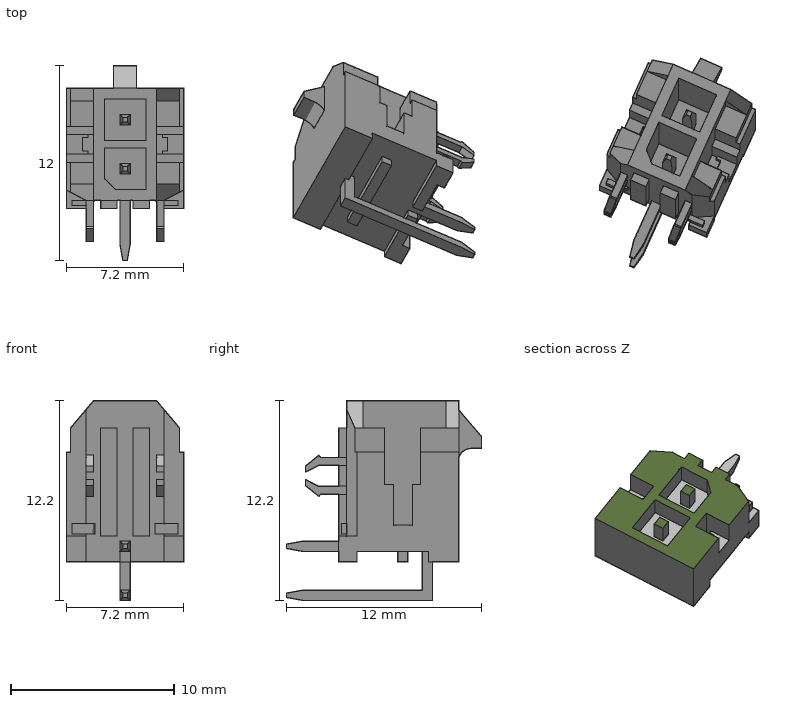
import cadquery as cq
import math


WIDTH = 7.2
DEPTH = 6.87
HEIGHT = 9.88
UPPER_WIDTH = 6.68
TOP_WIDTH = 3.86
FRONT_WIDTH = 4.78
CORNER_CHAMFER_DEPTH = 0.64
LEDGE_Z = 6.72
SHOULDER_Z = 8.21

UNDERSIDE_Z = 0.64
REAR_FOOT_Y = 5.01
FRONT_FOOT_HEIGHT = 1.58
FRONT_PROJECTION = 0.5
BAR_Y = 3.11
BAR_DEPTH = 0.64

SHELF_Y_MIN = 1.0
SHELF_Y_MAX = 6.09
WIDE_SLOT_Y_MIN = 2.31
WIDE_SLOT_Y_MAX = 4.51
WIDE_SLOT_Z = 4.74
NARROW_SLOT_Y_MIN = 2.85
NARROW_SLOT_Y_MAX = 4.02
NARROW_SLOT_Z = 2.26
FLOOR_HOLE_DEPTH = 0.5
FLOOR_HOLE_STEP_X = 2.28
FLOOR_HOLE_OUTER_X = 2.6
FLOOR_HOLE_STEM_Y_MIN = 3.03
FLOOR_HOLE_STEM_Y_MAX = 3.84

RIB_WIDTH = 1.02
RIB_PITCH = 1.98

CIRCUITS = 2
PITCH = 3.0
PIN_SIZE = 0.64
PIN_TIP_SIZE = 0.28
PIN_TIP_LENGTH = 1.0
PIN_FRONT_Y = -3.69
PIN_TOP_Z = 7.0
FRONT_PIN_Y = 1.94
UPPER_TAIL_Z = UNDERSIDE_Z + PIN_SIZE / 2
CAVITY_SIZE = 2.54
CAVITY_FLOOR_Z = 2.5
CAVITY_KEY = 0.68

LATCH_WIDTH = 1.42
LATCH_END_Y = 8.26
LATCH_TOP_Z = 9.31
LATCH_NOSE_TOP_Z = 7.68
LATCH_CATCH_Z = 6.95
LATCH_ARC_Y = 7.65
LATCH_ROOT_RADIUS = 0.84

PRONG_INNER_X = TOP_WIDTH / 2
PRONG_OUTER_X = FRONT_WIDTH / 2
PRONG_THICKNESS = 0.5
PRONG_CENTER_Z = 5.275
PRONG_INNER_OFFSET = 0.635
BARB_START_Y = -1.6
BARB_Y = -1.71
BARB_HEIGHT = 0.13
PRONG_END_Y = -2.53
PRONG_END_INNER_OFFSET = 0.22
PRONG_END_THICKNESS = 0.38

TAB_THICKNESS = 0.32
TAB_OUTER_X = 3.24
TAB_BEND_X = 2.48
TAB_BEND_RADIUS = 0.8
TAB_Z = 1.71
TAB_HEIGHT = 0.64

EMBED = 0.3
SIDES = (-1, 1)
PRONG_DIRECTIONS = (-1, 1)


def box(x_min, x_max, y_min, y_max, z_min, z_max):
    """Axis-aligned block between the given limits."""
    size = (x_max - x_min, y_max - y_min, z_max - z_min)
    return cq.Workplane("XY").box(*size, centered=False).translate((x_min, y_min, z_min))


def side_box(side, x_inner, x_outer, y_min, y_max, z_min, z_max):
    """Block between two distances from the mirror plane, on the chosen side."""
    x_min, x_max = sorted((side * x_inner, side * x_outer))
    return box(x_min, x_max, y_min, y_max, z_min, z_max)


def housing_block():
    """Stepped block with sloping shoulders, chamfered front corners and a raised underside."""
    half_outline = [
        (WIDTH / 2, 0),
        (WIDTH / 2, LEDGE_Z),
        (UPPER_WIDTH / 2, LEDGE_Z),
        (UPPER_WIDTH / 2, SHOULDER_Z),
        (TOP_WIDTH / 2, HEIGHT),
    ]
    outline = half_outline + [(-x, z) for x, z in reversed(half_outline)]
    body = cq.Workplane("XZ").polyline(outline).close().extrude(-DEPTH)
    for side in SIDES:
        corner = [
            (side * FRONT_WIDTH / 2, 0),
            (side * WIDTH / 2, 0),
            (side * WIDTH / 2, CORNER_CHAMFER_DEPTH),
        ]
        profile = cq.Workplane("XY").workplane(offset=FRONT_FOOT_HEIGHT).polyline(corner).close()
        body = body.cut(profile.extrude(HEIGHT - FRONT_FOOT_HEIGHT))
    body = body.cut(box(-WIDTH / 2, WIDTH / 2, CORNER_CHAMFER_DEPTH, REAR_FOOT_Y, 0, UNDERSIDE_Z))
    tail_notch = box(-PIN_SIZE / 2, PIN_SIZE / 2, 0, CORNER_CHAMFER_DEPTH, 0, UNDERSIDE_Z)
    return body.cut(tail_notch)


def front_feet_and_ribs():
    """Feet at the front corners and two upright ribs between them."""
    pieces = cq.Workplane("XY")
    for side in SIDES:
        foot = side_box(
            side, FRONT_WIDTH / 2, WIDTH / 2, -FRONT_PROJECTION, CORNER_CHAMFER_DEPTH, 0, FRONT_FOOT_HEIGHT
        )
        rib_inner_x = (RIB_PITCH - RIB_WIDTH) / 2
        rib_outer_x = rib_inner_x + RIB_WIDTH
        rib = side_box(
            side, rib_inner_x, rib_outer_x, -FRONT_PROJECTION, EMBED, FRONT_FOOT_HEIGHT, SHOULDER_Z
        )
        pieces = pieces.add(foot).add(rib)
    return pieces.combine()


def cross_bar():
    """Low bar across the raised underside, level with the feet."""
    return box(-FRONT_WIDTH / 2, FRONT_WIDTH / 2, BAR_Y, BAR_Y + BAR_DEPTH, 0, UNDERSIDE_Z + EMBED)


def side_recess(side):
    """Stepped recess in one side wall, with a T-shaped hole in its floor."""
    x_inner = TOP_WIDTH / 2
    x_outer = WIDTH / 2
    shelf = side_box(side, x_inner, x_outer, SHELF_Y_MIN, SHELF_Y_MAX, SHOULDER_Z, HEIGHT)
    wide = side_box(side, x_inner, x_outer, WIDE_SLOT_Y_MIN, WIDE_SLOT_Y_MAX, WIDE_SLOT_Z, HEIGHT)
    narrow = side_box(side, x_inner, x_outer, NARROW_SLOT_Y_MIN, NARROW_SLOT_Y_MAX, NARROW_SLOT_Z, HEIGHT)
    hole_z = NARROW_SLOT_Z - FLOOR_HOLE_DEPTH
    hole_bar = side_box(
        side, x_inner, FLOOR_HOLE_STEP_X, NARROW_SLOT_Y_MIN, NARROW_SLOT_Y_MAX, hole_z, NARROW_SLOT_Z
    )
    hole_stem = side_box(
        side, x_inner, FLOOR_HOLE_OUTER_X, FLOOR_HOLE_STEM_Y_MIN, FLOOR_HOLE_STEM_Y_MAX, hole_z, NARROW_SLOT_Z
    )
    return shelf.union(wide).union(narrow).union(hole_bar).union(hole_stem)


def cavity(center_y, keyed):
    """Square contact cavity; the keyed one has a chamfered front left corner."""
    depth = HEIGHT - CAVITY_FLOOR_Z
    shape = cq.Workplane("XY").rect(CAVITY_SIZE, CAVITY_SIZE).extrude(depth)
    if keyed:
        shape = shape.edges("|Z and <X and <Y").chamfer(CAVITY_KEY)
    return shape.translate((0, center_y, CAVITY_FLOOR_Z))


def pin_tip():
    """Tapered square pin end, pointing along +Z from the origin."""
    base = cq.Workplane("XY").rect(PIN_SIZE, PIN_SIZE)
    return base.workplane(offset=PIN_TIP_LENGTH).rect(PIN_TIP_SIZE, PIN_TIP_SIZE).loft(combine=True)


def contact(pin_y, tail_z):
    """L-shaped square contact: a mating pin pointing up and a tail pointing forward."""
    half = PIN_SIZE / 2
    pin_end_z = PIN_TOP_Z - PIN_TIP_LENGTH
    tail_end_y = PIN_FRONT_Y + PIN_TIP_LENGTH
    pin = box(-half, half, pin_y - half, pin_y + half, tail_z - half, pin_end_z)
    tail = box(-half, half, tail_end_y, pin_y + half, tail_z - half, tail_z + half)
    upper_tip = pin_tip().translate((0, pin_y, pin_end_z))
    front_tip = pin_tip().rotate((0, 0, 0), (1, 0, 0), 90).translate((0, tail_end_y, tail_z))
    return pin.union(tail).union(upper_tip).union(front_tip)


def latch_root_z(y):
    """Height of the concave arc under the latch root at a given Y."""
    return LATCH_CATCH_Z - LATCH_ROOT_RADIUS + math.sqrt(LATCH_ROOT_RADIUS**2 - (LATCH_ARC_Y - y) ** 2)


def latch():
    """Ramped rear latch with a concave arc under its root."""
    arc_middle_y = (LATCH_ARC_Y + DEPTH) / 2
    profile = (
        cq.Workplane("YZ")
        .workplane(offset=-LATCH_WIDTH / 2)
        .moveTo(DEPTH - EMBED, LATCH_TOP_Z)
        .lineTo(DEPTH, LATCH_TOP_Z)
        .lineTo(LATCH_END_Y, LATCH_NOSE_TOP_Z)
        .lineTo(LATCH_END_Y, LATCH_CATCH_Z)
        .lineTo(LATCH_ARC_Y, LATCH_CATCH_Z)
        .threePointArc((arc_middle_y, latch_root_z(arc_middle_y)), (DEPTH, latch_root_z(DEPTH)))
        .lineTo(DEPTH - EMBED, latch_root_z(DEPTH))
        .close()
    )
    return profile.extrude(LATCH_WIDTH)


def prong(side, direction):
    """One barbed clip prong; direction is +1 for the upper prong and -1 for the lower."""
    outer_offset = PRONG_INNER_OFFSET + PRONG_THICKNESS
    offsets = [
        (EMBED, PRONG_INNER_OFFSET),
        (EMBED, outer_offset),
        (BARB_START_Y, outer_offset),
        (BARB_Y, outer_offset + BARB_HEIGHT),
        (PRONG_END_Y, PRONG_END_INNER_OFFSET + PRONG_END_THICKNESS),
        (PRONG_END_Y, PRONG_END_INNER_OFFSET),
        (BARB_Y, PRONG_INNER_OFFSET),
    ]
    outline = [(y, PRONG_CENTER_Z + direction * offset) for y, offset in offsets]
    profile = cq.Workplane("YZ").workplane(offset=side * PRONG_INNER_X).polyline(outline).close()
    return profile.extrude(side * (PRONG_OUTER_X - PRONG_INNER_X))


def clip_tab(side):
    """Flat clip tab on the front face whose inner end bends back into the housing."""
    inner_radius = TAB_BEND_RADIUS - TAB_THICKNESS
    bend_center_y = inner_radius
    diagonal = math.sqrt(0.5)
    profile = (
        cq.Workplane("XY")
        .workplane(offset=TAB_Z)
        .moveTo(side * TAB_OUTER_X, 0)
        .lineTo(side * TAB_OUTER_X, -TAB_THICKNESS)
        .lineTo(side * TAB_BEND_X, -TAB_THICKNESS)
        .threePointArc(
            (side * (TAB_BEND_X - TAB_BEND_RADIUS * diagonal), bend_center_y - TAB_BEND_RADIUS * diagonal),
            (side * (TAB_BEND_X - TAB_BEND_RADIUS), bend_center_y),
        )
        .lineTo(side * (TAB_BEND_X - inner_radius), bend_center_y)
        .threePointArc(
            (side * (TAB_BEND_X - inner_radius * diagonal), bend_center_y - inner_radius * diagonal),
            (side * TAB_BEND_X, 0),
        )
        .close()
    )
    return profile.extrude(TAB_HEIGHT)


result = housing_block().union(front_feet_and_ribs()).union(cross_bar()).union(latch())
for side in SIDES:
    result = result.cut(side_recess(side)).union(clip_tab(side))
    for direction in PRONG_DIRECTIONS:
        result = result.union(prong(side, direction))
for row in range(CIRCUITS):
    pin_y = FRONT_PIN_Y + row * PITCH
    result = result.cut(cavity(pin_y, keyed=row == 0))
    result = result.union(contact(pin_y, UPPER_TAIL_Z - row * PITCH))